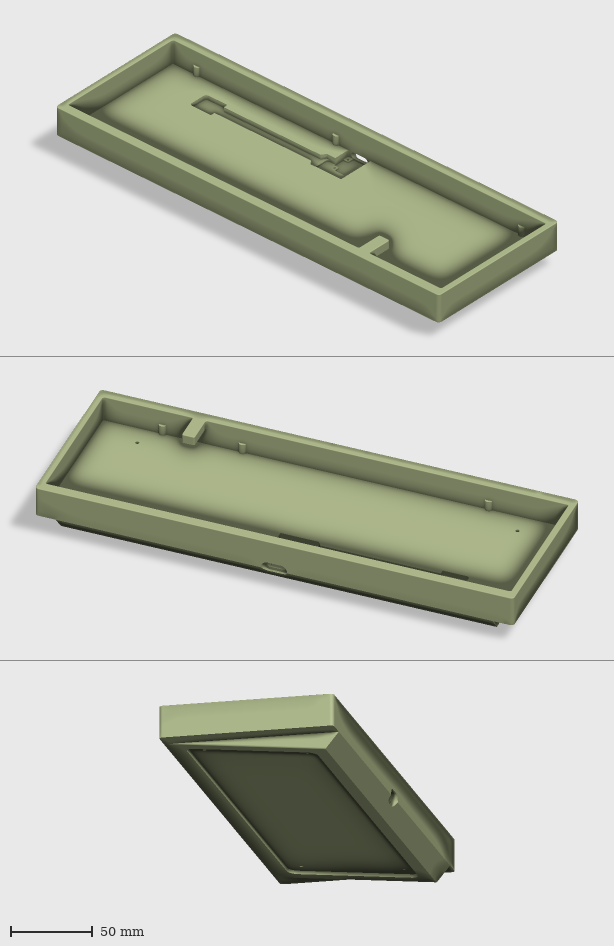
import cadquery as cq
import math

length = 314.8
width = 110.2
total_height = 31.0
tray_height = 20.5
tray_bottom = total_height - tray_height
end_wall = 4.5
long_wall = 7.0
cavity_depth = 17.5
floor_top = total_height - cavity_depth
outer_corner_radius = 2.5
inner_corner_radius = 1.3
rim_round = 0.5
cavity_length = length - 2 * end_wall
cavity_width = width - 2 * long_wall
wall_y = cavity_width / 2

foot_length = 287.0
foot_angle = math.radians(6)
foot_back_top_y = width / 2
foot_low_y = width / 2 - 8.5
foot_front_y = foot_low_y - tray_bottom / math.tan(foot_angle)
foot_side_round = 1.0

recess_length = 268.8
recess_depth = 2.2
recess_margin = 8.2
recess_corner_radius = 5.7

tab_center_x = 89.7
tab_width = 8.5
tab_tip_y = -29.3
tab_thickness = 6.0
tab_tip_radius = 1.3
tab_root_radius = 1.3

bump_diameter = 5.0
bump_inset = 0.5
bump_height = 7.0
back_bump_x = (-133.5, -19.2, 132.8)
front_bump_x = (-100.5, 61.5, 114.0)

channel_depth = 3.5
channel_center_y = 28.5
channel_width = 8.5
channel_box_width = 15.0
channel_left_x = -115.2
channel_box_end_x = -97.5
channel_flare_start_x = -18.3
channel_flare_end_x = -16.0
pocket_corner_radius = 2.2
board_corner_radius = 1.3

pocket_depth = 4.7
pocket_left_x = -15.0
board_half_width = 9.0
well_depth = 1.0
well_half_width = 5.0
well_front_y = channel_center_y + 2.2
well_cross_front_y = 35.3
well_cross_back_y = 43.5
well_corner_radius = 1.3
screw_x = 7.0
screw_y = (33.0, 45.3)
screw_diameter = 1.6
screw_depth = 2.5

port_width = 13.2
port_height = 4.5
port_center_z = floor_top - port_height / 2
relief_height = 8.2
relief_width = port_width + relief_height - port_height
port_wall = 2.2

mount_x = 125.0
front_mount_y = -34.0
back_mount_y = 31.0
front_mount_diameter = 2.5
back_mount_diameter = 1.6
back_mount_top = 6.3


def box(x_min, x_max, y_min, y_max, z_min, z_max):
    """Box between two opposite corners."""
    return (
        cq.Workplane("XY", origin=((x_min + x_max) / 2, (y_min + y_max) / 2, z_min))
        .rect(x_max - x_min, y_max - y_min)
        .extrude(z_max - z_min)
    )


def cylinder(x, y, diameter, z_min, z_max):
    """Upright cylinder."""
    return cq.Workplane("XY", origin=(x, y, z_min)).circle(diameter / 2).extrude(z_max - z_min)


def make_tray():
    tray = box(-length / 2, length / 2, -width / 2, width / 2, tray_bottom, total_height)
    tray = tray.edges("|Z").fillet(outer_corner_radius)
    cavity = box(-cavity_length / 2, cavity_length / 2, -wall_y, wall_y, floor_top, total_height)
    cavity = cavity.edges("|Z").fillet(inner_corner_radius)
    tray = tray.cut(cavity)
    tab = box(
        tab_center_x - tab_width / 2,
        tab_center_x + tab_width / 2,
        -wall_y - long_wall / 2,
        tab_tip_y,
        total_height - tab_thickness,
        total_height,
    )
    tab = tab.edges("|Z and >Y").fillet(tab_tip_radius)
    tray = tray.union(tab)
    tab_roots = cq.selectors.BoxSelector(
        (tab_center_x - tab_width, -wall_y - 0.3, floor_top),
        (tab_center_x + tab_width, -wall_y + 0.3, total_height),
    )
    tray = tray.edges("|Z").edges(tab_roots).fillet(tab_root_radius)
    return tray.faces(">Z").edges().fillet(rim_round)


def make_foot():
    foot = (
        cq.Workplane("YZ", origin=(-foot_length / 2, 0, 0))
        .polyline(
            [
                (foot_front_y, tray_bottom),
                (foot_low_y, 0),
                (foot_back_top_y, tray_bottom),
                (foot_back_top_y, floor_top),
                (foot_front_y, floor_top),
            ]
        )
        .close()
        .extrude(foot_length)
    )
    low_side_edges = cq.selectors.BoxSelector(
        (-length, foot_front_y, -0.3), (length, foot_low_y, tray_bottom - 0.3)
    )
    return foot.edges(low_side_edges).edges("not |X").fillet(foot_side_round)


def make_underside_recess():
    slope_length = tray_bottom / math.sin(foot_angle)
    recess = (
        cq.Workplane("XY")
        .rect(recess_length, slope_length - 2 * recess_margin)
        .extrude(recess_depth + 3)
        .translate((0, 0, -3))
        .edges("|Z")
        .fillet(recess_corner_radius)
    )
    recess = recess.rotate((0, 0, 0), (1, 0, 0), -math.degrees(foot_angle))
    return recess.translate((0, (foot_front_y + foot_low_y) / 2, tray_bottom / 2))


def make_channel():
    half_box = channel_box_width / 2
    half_channel = channel_width / 2
    upper = [
        (channel_left_x, half_box),
        (channel_box_end_x, half_box),
        (channel_box_end_x, half_channel),
        (channel_flare_start_x, half_channel),
        (channel_flare_end_x, half_box),
        (board_half_width, half_box),
    ]
    lower = [(x, -y) for x, y in reversed(upper)]
    channel = (
        cq.Workplane("XY", origin=(0, channel_center_y, floor_top - channel_depth))
        .polyline(upper + lower)
        .close()
        .extrude(channel_depth)
    )
    return channel.edges("|Z and <X").fillet(pocket_corner_radius)


def make_connector_pocket():
    pocket_bottom = floor_top - pocket_depth
    front_y = channel_center_y - channel_box_width / 2
    back_y = channel_center_y + channel_box_width / 2
    entry = box(pocket_left_x, board_half_width, front_y, back_y, pocket_bottom, floor_top)
    entry = entry.edges("|Z and <X").fillet(pocket_corner_radius)
    board = box(-board_half_width, board_half_width, front_y, wall_y, pocket_bottom, floor_top)
    board = board.edges("|Z").fillet(board_corner_radius)
    pocket = entry.union(board)
    well_bottom = pocket_bottom - well_depth
    well = box(-well_half_width, well_half_width, well_front_y, wall_y, well_bottom, pocket_bottom)
    well_cross = box(
        -board_half_width,
        board_half_width,
        well_cross_front_y,
        well_cross_back_y,
        well_bottom,
        pocket_bottom,
    )
    well = well.union(well_cross).edges("|Z").edges("not <X").edges("not >X").edges("not >Y")
    well = well.fillet(well_corner_radius)
    pocket = pocket.union(well)
    for side in (-1, 1):
        for y in screw_y:
            screw_bottom = pocket_bottom - screw_depth
            pocket = pocket.union(cylinder(side * screw_x, y, screw_diameter, screw_bottom, pocket_bottom))
    return pocket


def make_port():
    port = (
        cq.Workplane("XZ", origin=(0, wall_y - rim_round, port_center_z))
        .slot2D(port_width, port_height)
        .extrude(-2 * long_wall)
    )
    relief = (
        cq.Workplane("XZ", origin=(0, wall_y + port_wall, port_center_z))
        .slot2D(relief_width, relief_height)
        .extrude(-2 * long_wall)
    )
    return port.union(relief)


def make_bumps():
    bumps = cq.Workplane("XY")
    bump_y = wall_y + bump_inset
    for wall_side, bump_places in ((1, back_bump_x), (-1, front_bump_x)):
        for bump_x in bump_places:
            bump = cylinder(bump_x, wall_side * bump_y, bump_diameter, floor_top, floor_top + bump_height)
            bumps = bumps.add(bump)
    return bumps.combine()


def make_mount_holes():
    holes = cq.Workplane("XY")
    for x in (-mount_x, mount_x):
        holes = holes.add(cylinder(x, front_mount_y, front_mount_diameter, 0, floor_top))
        holes = holes.add(cylinder(x, back_mount_y, back_mount_diameter, 0, back_mount_top))
    return holes.combine()


result = make_tray().union(make_foot()).union(make_bumps())
result = result.cut(make_underside_recess())
result = result.cut(make_channel())
result = result.cut(make_connector_pocket())
result = result.cut(make_port())
result = result.cut(make_mount_holes())